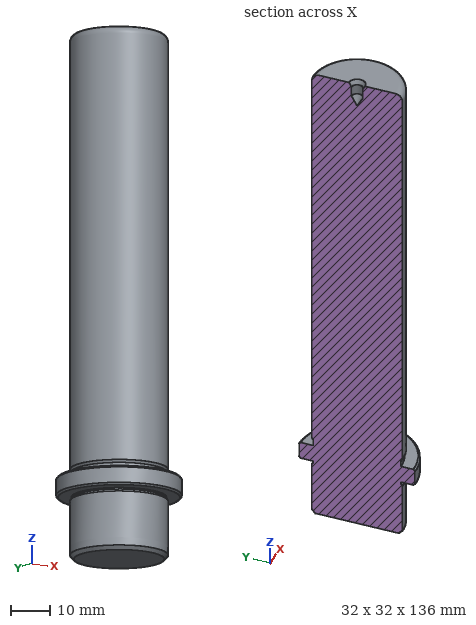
import cadquery as cq
import math

total_length = 136.0
collar_bottom = 16.0
collar_height = 5.0
collar_top = collar_bottom + collar_height

body_radius = 12.5
collar_radius = 16.0
collar_chamfer = 0.5
top_round = 2.0

lead_height = 3.0
lead_radius = 12.48
end_chamfer_height = 1.0
end_chamfer_width = 1.0

relief_depth = 0.4
relief_radius = body_radius - relief_depth
upper_relief_width = 2.2
lower_relief_width = 1.0
upper_relief_run_out = 0.7
lower_relief_run_out = 0.6

mouth_radius = 2.2
bore_radius = 1.5
bore_end_depth = 4.0
centre_half_angle = 30.0


def cone_depth(radius_change, half_angle):
    """Axial length of a cone whose radius shrinks by radius_change."""
    return radius_change / math.tan(math.radians(half_angle))


def pin_blank():
    """Turned pin: half profile in the XZ plane, revolved about Z."""
    lower_relief_start = collar_bottom - lower_relief_width
    upper_relief_end = collar_top + upper_relief_width
    round_start = total_length - top_round
    round_diagonal = top_round * math.sin(math.radians(45))
    round_middle = (body_radius - top_round + round_diagonal, round_start + round_diagonal)
    profile = (
        cq.Workplane("XZ")
        .moveTo(0, 0)
        .lineTo(lead_radius - end_chamfer_width, 0)
        .lineTo(lead_radius, end_chamfer_height)
        .lineTo(body_radius, lead_height)
        .lineTo(body_radius, lower_relief_start)
        .lineTo(relief_radius, lower_relief_start + lower_relief_run_out)
        .lineTo(relief_radius, collar_bottom)
        .lineTo(collar_radius - collar_chamfer, collar_bottom)
        .lineTo(collar_radius, collar_bottom + collar_chamfer)
        .lineTo(collar_radius, collar_top - collar_chamfer)
        .lineTo(collar_radius - collar_chamfer, collar_top)
        .lineTo(relief_radius, collar_top)
        .lineTo(relief_radius, upper_relief_end - upper_relief_run_out)
        .lineTo(body_radius, upper_relief_end)
        .lineTo(body_radius, round_start)
        .threePointArc(round_middle, (body_radius - top_round, total_length))
        .lineTo(0, total_length)
        .close()
    )
    return profile.revolve(360, (0, 0, 0), (0, 1, 0))


def centre_drilling():
    """Conical mouth and short bore that ends in a 60 degree cone."""
    bore_start = total_length - cone_depth(mouth_radius - bore_radius, centre_half_angle)
    bore_end = total_length - bore_end_depth
    tip = bore_end - cone_depth(bore_radius, centre_half_angle)
    profile = (
        cq.Workplane("XZ")
        .moveTo(0, total_length)
        .lineTo(mouth_radius, total_length)
        .lineTo(bore_radius, bore_start)
        .lineTo(bore_radius, bore_end)
        .lineTo(0, tip)
        .close()
    )
    return profile.revolve(360, (0, 0, 0), (0, 1, 0))


result = pin_blank().cut(centre_drilling())